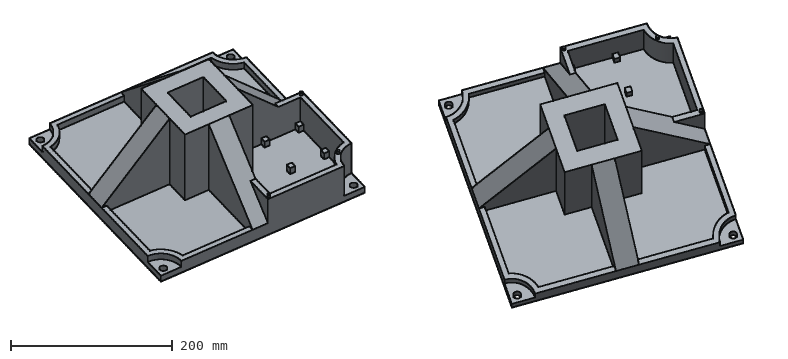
import cadquery as cq
import math

side = 300.0
height = 120.0
floor_thickness = side / 30
rim_top = 2 * floor_thickness
wall = 7.5
notch_radius = 30.0
hole_diameter = 10.0
hole_inset = side / 30
column_side = side / 3
socket_side = 52.5
rib_width = 30.0
housing_top = height / 2
pin_diameter = 4.0
pin_height = 4.0
post_side = 7.5
post_spacing_x = 58.0
post_spacing_y = 50.0
post_height = floor_thickness

half = side / 2
rib_half = rib_width / 2
housing_start = rib_half - wall


def box(x0, x1, y0, y1, z0, z1):
    """Axis-aligned block between the given limits."""
    return cq.Workplane("XY").box(x1 - x0, y1 - y0, z1 - z0, centered=False).translate((x0, y0, z0))


def corner_cylinders(radius, z0, z1):
    """Cylinders centred on the four corners of the base."""
    return (
        cq.Workplane("XY").workplane(offset=z0)
        .rect(side, side, forConstruction=True).vertices()
        .circle(radius).extrude(z1 - z0)
    )


def walled_frame(x0, y0, z1):
    """Wall from the floor up to z1, reaching the +X +Y corner and curving in around the base corners."""
    outer = box(x0, half, y0, half, floor_thickness, z1)
    inner = box(x0 + wall, half - wall, y0 + wall, half - wall, floor_thickness, z1)
    outer = outer.cut(corner_cylinders(notch_radius, floor_thickness, z1))
    inner = inner.cut(corner_cylinders(notch_radius + wall, floor_thickness, z1))
    return outer.cut(inner)


def rib_pair():
    """Sloping ribs on both sides of the column, along X."""
    return (
        cq.Workplane("XZ")
        .moveTo(-half, floor_thickness)
        .lineTo(-half, rim_top)
        .lineTo(-column_side / 2, height)
        .lineTo(column_side / 2, height)
        .lineTo(half, rim_top)
        .lineTo(half, floor_thickness)
        .close()
        .extrude(rib_half, both=True)
    )


base = box(-half, half, -half, half, 0, floor_thickness)
rim = walled_frame(-half, -half, rim_top)
housing = walled_frame(housing_start, housing_start, housing_top)

ribs = rib_pair()
column = cq.Workplane("XY").rect(column_side, column_side).extrude(height)
body = base.union(rim).union(housing).union(column)
body = body.union(ribs).union(ribs.rotate((0, 0, 0), (0, 0, 1), 90))

post_y = half - wall - post_side - post_spacing_y
posts = [
    (rib_half + column_step * post_spacing_x, post_y + row_step * post_spacing_y)
    for column_step in range(2)
    for row_step in range(2)
]
for x, y in posts:
    body = body.union(box(x, x + post_side, y, y + post_side, 0, floor_thickness + post_height))

wall_middle = housing_start + wall / 2
edge_middle = half - wall / 2
arc_middle = half - (notch_radius + wall / 2) / math.sqrt(2)
pin_places = [(wall_middle, edge_middle), (edge_middle, wall_middle), (arc_middle, arc_middle)]
pins = (
    cq.Workplane("XY").workplane(offset=housing_top - pin_height)
    .pushPoints(pin_places).circle(pin_diameter / 2).extrude(2 * pin_height)
)
body = body.union(pins)

socket = (
    cq.Workplane("XY").workplane(offset=floor_thickness)
    .rect(socket_side, socket_side).extrude(height)
)
hole_pitch = side - 2 * hole_inset
holes = (
    cq.Workplane("XY").rect(hole_pitch, hole_pitch, forConstruction=True).vertices()
    .circle(hole_diameter / 2).extrude(floor_thickness)
)
result = body.cut(socket).cut(holes)